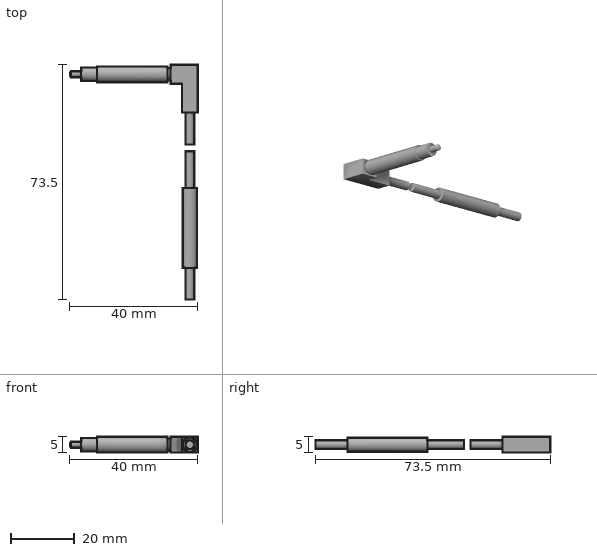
import cadquery as cq
import math

block_height = 5.0
block_length_x = 8.5
block_length_y = 15.0
probe_arm_width = 6.0
cable_arm_width = 5.0

neck_diameter = 4.0
neck_length = 1.0
barrel_diameter = 5.0
barrel_length = 22.0
collar_diameter = 4.3
collar_length = 5.0
pin_diameter = 2.0
pin_length = 3.49
dome_radius = 1.5

cable_diameter = 2.8
cable_stub_length = 10.0
cable_gap = 2.0
cable_lead_length = 11.5
cable_tail_length = 10.0
sleeve_diameter = 4.5
sleeve_length = 25.0

block_right = cable_arm_width / 2
block_left = block_right - block_length_x
block_back = probe_arm_width / 2
block_front = block_back - block_length_y


def rod_along_minus_x(x_start, diameter, length):
    return cq.Workplane("YZ", origin=(x_start, 0, 0)).circle(diameter / 2).extrude(-length)


def rod_along_minus_y(y_start, diameter, length):
    return cq.Workplane("XZ", origin=(0, y_start, 0)).circle(diameter / 2).extrude(length)


def make_block():
    return (
        cq.Workplane("XY", origin=(0, 0, -block_height / 2))
        .moveTo(block_left, block_back)
        .lineTo(block_right, block_back)
        .lineTo(block_right, block_front)
        .lineTo(-cable_arm_width / 2, block_front)
        .lineTo(-cable_arm_width / 2, -probe_arm_width / 2)
        .lineTo(block_left, -probe_arm_width / 2)
        .close()
        .extrude(block_height)
    )


def make_pin(x_start):
    """Contact pin along -X, ending in a shallow spherical dome."""
    x_tip = x_start - pin_length
    x_dome_centre = x_tip + dome_radius
    pin_radius = pin_diameter / 2
    x_dome_edge = x_dome_centre - math.sqrt(dome_radius**2 - pin_radius**2)
    return (
        cq.Workplane("XY")
        .moveTo(x_start, 0)
        .lineTo(x_start, pin_radius)
        .lineTo(x_dome_edge, pin_radius)
        .radiusArc((x_tip, 0), -dome_radius)
        .close()
        .revolve(360, (0, 0, 0), (1, 0, 0))
    )


def make_probe_connector():
    """Elbow block with the stepped probe and the first stub of cable."""
    connector = make_block()
    x_start = block_left
    for diameter, length in (
        (neck_diameter, neck_length),
        (barrel_diameter, barrel_length),
        (collar_diameter, collar_length),
    ):
        connector = connector.union(rod_along_minus_x(x_start, diameter, length))
        x_start -= length
    connector = connector.union(make_pin(x_start))
    return connector.union(rod_along_minus_y(block_front, cable_diameter, cable_stub_length))


def make_sleeved_cable():
    """Far length of cable with a thicker sleeve around its middle."""
    y_start = block_front - cable_stub_length - cable_gap
    cable_length = cable_lead_length + sleeve_length + cable_tail_length
    cable = rod_along_minus_y(y_start, cable_diameter, cable_length)
    sleeve = rod_along_minus_y(y_start - cable_lead_length, sleeve_diameter, sleeve_length)
    return cable.union(sleeve)


probe_connector = make_probe_connector()
sleeved_cable = make_sleeved_cable()

result = cq.Compound.makeCompound([probe_connector.val(), sleeved_cable.val()])